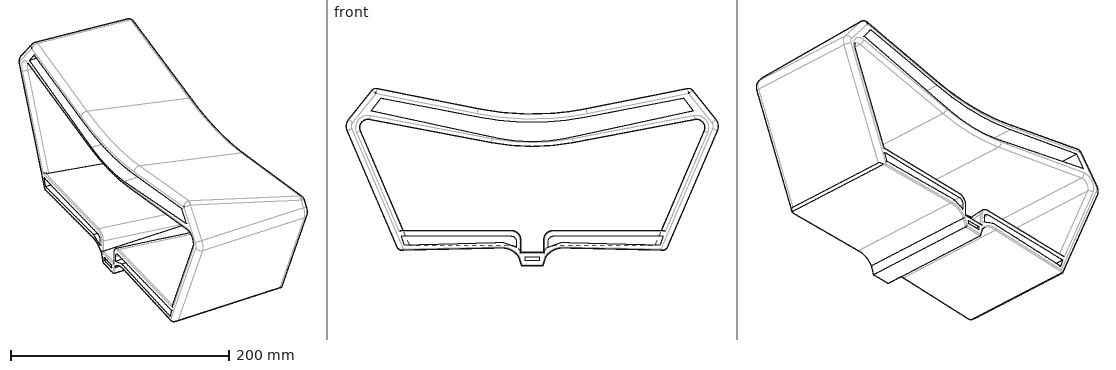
import cadquery as cq
import math

DEPTH = 116.2

TRAY_TOP = 32.7
TRAY_TOP_BACK = 18.7
TRAY_HALF_WIDTH = 122.7
TRAY_BOTTOM_OUTER = 14.3
TRAY_BOTTOM_INNER = 16.5
CHANNEL_HALF_WIDTH = 10.4
CHANNEL_FLOOR = 12.5
CHANNEL_LIP_RADIUS = 8.5
KEEL_HALF_WIDTH = 10.0
KEEL_SHOULDER = (12.5, 8.5)
KEEL_CURVE_MIDDLE = (19.0, 14.15)
KEEL_CURVE_END = 30.5

CORNER = (172.0, 129.5)
BEVEL_SLOPE = 1.25
BEVEL_REACH = 44.3
WALL_WIDTH = 12.3

SEAT_FRONT_LOW = 140.5
SEAT_FRONT_SLOPE = 0.2
SEAT_BACK_LOW = 116.5
SEAT_BACK_SLOPE = 0.18
SEAT_ARC_HALF_WIDTH = 49.5
UNDERSIDE_LOW = 109.5
UNDERSIDE_SLOPE = 0.19
UNDERSIDE_ARC_HALF_WIDTH = 37.5
ROOF = 191.0

POCKET_DEPTH = 27.3
SEAT_POCKET_TIP = (138.7, 153.7)
SEAT_POCKET_END = (147.5, 142.0)
SEAT_POCKET_TOP = 131.5
SEAT_POCKET_BOTTOM = 113.8
SEAT_POCKET_LOWER_ARC = 30.7
TRAY_POCKET_TOP = 27.3
TRAY_POCKET_LIP_RADIUS = 5.0
TRAY_POCKET_INNER_LOW = (14.3, 17.0)
TRAY_POCKET_KNEE = (26.5, 21.5)
TRAY_POCKET_OUTER_LOW = (117.2, 19.0)
TRAY_POCKET_OUTER_X = 120.0
KEEL_POCKET_SIZE = (13.5, 3.0)
KEEL_POCKET_Z = 6.5

CORNER_RADIUS = 10.2
EDGE_RADIUS = 4.8
FOOT_CHAMFER = 2.0
OPENING_CORNER_RADIUS = 7.5
OPENING_EDGE_RADIUS = 3.7
SMALL_EDGE_RADIUS = 1.0

PICK_MARGIN = 3.5


def front_sketch(y=0.0):
    """Sketch plane whose local axes are X and Z; extruding by a negative length goes to the back (+Y)."""
    return cq.Workplane("XZ", origin=(0, y, 0))


def sagging_height(x, low, slope, arc_half_width):
    """Height of a straight slope that ends in a tangent central arc with its lowest point at `low`."""
    arc_rise = arc_half_width * math.tan(math.atan(slope) / 2)
    return low + arc_rise + slope * (abs(x) - arc_half_width)


def prism(sketch, depth):
    """Close the outline and extrude it from its plane toward the back."""
    return sketch.close().extrude(-depth)


def outer_block():
    """Full outside shape with an uncut top; the bevels run on upward past the seat."""
    corner_x, corner_z = CORNER
    bevel_x = corner_x - BEVEL_REACH
    bevel_z = corner_z + BEVEL_REACH * BEVEL_SLOPE
    shoulder_x, shoulder_z = KEEL_SHOULDER
    curve_x, curve_z = KEEL_CURVE_MIDDLE
    return prism(
        front_sketch()
        .moveTo(-KEEL_HALF_WIDTH, 0)
        .lineTo(KEEL_HALF_WIDTH, 0)
        .lineTo(shoulder_x, shoulder_z)
        .threePointArc((curve_x, curve_z), (KEEL_CURVE_END, TRAY_BOTTOM_INNER))
        .lineTo(TRAY_HALF_WIDTH, TRAY_BOTTOM_OUTER)
        .lineTo(corner_x, corner_z)
        .lineTo(bevel_x, bevel_z)
        .lineTo(-bevel_x, bevel_z)
        .lineTo(-corner_x, corner_z)
        .lineTo(-TRAY_HALF_WIDTH, TRAY_BOTTOM_OUTER)
        .lineTo(-KEEL_CURVE_END, TRAY_BOTTOM_INNER)
        .threePointArc((-curve_x, curve_z), (-shoulder_x, shoulder_z)),
        DEPTH,
    )


def seat_section(y, low, slope):
    edge_x = CORNER[0]
    edge_z = sagging_height(edge_x, low, slope, SEAT_ARC_HALF_WIDTH)
    arc_z = sagging_height(SEAT_ARC_HALF_WIDTH, low, slope, SEAT_ARC_HALF_WIDTH)
    return (
        front_sketch(y)
        .moveTo(-edge_x, edge_z)
        .lineTo(-SEAT_ARC_HALF_WIDTH, arc_z)
        .threePointArc((0, low), (SEAT_ARC_HALF_WIDTH, arc_z))
        .lineTo(edge_x, edge_z)
        .lineTo(edge_x, ROOF)
        .lineTo(-edge_x, ROOF)
        .close()
        .val()
    )


def space_above_seat():
    """Ruled body over the seat, from the front section to the lower, flatter back section."""
    sections = [
        seat_section(0, SEAT_FRONT_LOW, SEAT_FRONT_SLOPE),
        seat_section(DEPTH, SEAT_BACK_LOW, SEAT_BACK_SLOPE),
    ]
    return cq.Workplane(cq.Solid.makeLoft(sections, True))


def box_selector(x_low, x_high, z_low, z_high, y_low=-PICK_MARGIN, y_high=DEPTH + PICK_MARGIN):
    """Selector for edges whose centre lies in the given box."""
    return cq.selectors.BoxSelector((x_low, y_low, z_low), (x_high, y_high, z_high))


def both_sides(x_near, x_far, z_low, z_high):
    """Selector for edges at mid depth, left and right of the middle plane."""
    middle = (DEPTH / 4, 3 * DEPTH / 4)
    left = box_selector(-x_far, -x_near, z_low, z_high, *middle)
    return left + box_selector(x_near, x_far, z_low, z_high, *middle)


def edges_through(x, z):
    """Selector for the edges along Y that pass near (x, z) and its mirror image."""
    return both_sides(x - PICK_MARGIN, x + PICK_MARGIN, z - PICK_MARGIN, z + PICK_MARGIN)


def round_outside(block):
    corner_x, corner_z = CORNER
    rim = box_selector(-corner_x, corner_x, TRAY_TOP, ROOF)
    ridges = both_sides(corner_x - BEVEL_REACH, corner_x, corner_z + CORNER_RADIUS, ROOF)
    corners = edges_through(corner_x, corner_z)
    feet = edges_through(TRAY_HALF_WIDTH, TRAY_BOTTOM_OUTER)

    block = block.edges(corners).fillet(CORNER_RADIUS)
    block = block.edges(feet).chamfer(FOOT_CHAMFER)
    block = block.faces("<Y").edges(rim).fillet(EDGE_RADIUS)
    block = block.faces(">Y").edges(rim).fillet(EDGE_RADIUS)
    return block.edges(ridges).fillet(EDGE_RADIUS)


def underside_height(x):
    return sagging_height(x, UNDERSIDE_LOW, UNDERSIDE_SLOPE, UNDERSIDE_ARC_HALF_WIDTH)


def tray_filler():
    """Wedge under the tray top, which falls toward the back, with the channel cut into it."""
    slot_width = 2 * CHANNEL_HALF_WIDTH
    wedge = (
        cq.Workplane("YZ")
        .moveTo(0, 0)
        .lineTo(0, TRAY_TOP)
        .lineTo(DEPTH, TRAY_TOP_BACK)
        .lineTo(DEPTH, 0)
        .close()
        .extrude(CORNER[0], both=True)
    )
    slot = cq.Workplane().box(slot_width, 3 * DEPTH, 3 * TRAY_TOP)
    floor = cq.Workplane().box(slot_width, DEPTH, CHANNEL_FLOOR, centered=(True, False, False))
    lips = edges_through(CHANNEL_HALF_WIDTH, (TRAY_TOP + TRAY_TOP_BACK) / 2)
    return wedge.cut(slot).edges(lips).fillet(CHANNEL_LIP_RADIUS).union(floor)


def opening():
    """Through opening between the seat, the side walls and the tray, including the channel."""
    wall_slope = (CORNER[1] - TRAY_BOTTOM_OUTER) / (CORNER[0] - TRAY_HALF_WIDTH)
    base_x = TRAY_HALF_WIDTH - TRAY_BOTTOM_OUTER / wall_slope - WALL_WIDTH
    arc_x = UNDERSIDE_ARC_HALF_WIDTH
    arc_z = underside_height(arc_x)
    corner_x = base_x + underside_height(base_x) / (wall_slope - UNDERSIDE_SLOPE)
    corner_z = underside_height(corner_x)
    space = prism(
        front_sketch()
        .moveTo(-base_x, 0)
        .lineTo(base_x, 0)
        .lineTo(corner_x, corner_z)
        .lineTo(arc_x, arc_z)
        .threePointArc((0, UNDERSIDE_LOW), (-arc_x, arc_z))
        .lineTo(-corner_x, corner_z),
        DEPTH,
    )
    return space.edges(edges_through(corner_x, corner_z)).fillet(OPENING_CORNER_RADIUS).cut(tray_filler())


def round_opening(block):
    """Round the front edges of the opening and the lower outline; the tray edges are only eased."""
    inner_x = CORNER[0] - WALL_WIDTH
    inner_top = SEAT_POCKET_TOP + PICK_MARGIN
    walls_and_underside = box_selector(-inner_x, inner_x, TRAY_TOP + PICK_MARGIN, inner_top)
    tray_x = TRAY_HALF_WIDTH - WALL_WIDTH
    tray_edges = box_selector(-tray_x, tray_x, -PICK_MARGIN, TRAY_TOP + SMALL_EDGE_RADIUS)
    block = block.faces("<Y").edges(walls_and_underside).fillet(OPENING_EDGE_RADIUS)
    return block.faces("<Y").edges(tray_edges).fillet(SMALL_EDGE_RADIUS)


def seat_pocket():
    tip_x, tip_z = SEAT_POCKET_TIP
    end_x, end_z = SEAT_POCKET_END
    upper_x = SEAT_ARC_HALF_WIDTH
    upper_z = sagging_height(upper_x, SEAT_POCKET_TOP, SEAT_FRONT_SLOPE, upper_x)
    lower_x = SEAT_POCKET_LOWER_ARC
    lower_z = sagging_height(lower_x, SEAT_POCKET_BOTTOM, SEAT_FRONT_SLOPE, lower_x)
    return prism(
        front_sketch()
        .moveTo(-tip_x, tip_z)
        .lineTo(-upper_x, upper_z)
        .threePointArc((0, SEAT_POCKET_TOP), (upper_x, upper_z))
        .lineTo(tip_x, tip_z)
        .lineTo(end_x, end_z)
        .lineTo(lower_x, lower_z)
        .threePointArc((0, SEAT_POCKET_BOTTOM), (-lower_x, lower_z))
        .lineTo(-end_x, end_z),
        POCKET_DEPTH,
    )


def tray_pocket():
    """Pocket in the right half of the tray, following its lip and its underside."""
    pocket = prism(
        front_sketch()
        .moveTo(*TRAY_POCKET_INNER_LOW)
        .lineTo(*TRAY_POCKET_KNEE)
        .lineTo(*TRAY_POCKET_OUTER_LOW)
        .lineTo(TRAY_POCKET_OUTER_X, TRAY_POCKET_TOP)
        .lineTo(TRAY_POCKET_INNER_LOW[0], TRAY_POCKET_TOP),
        POCKET_DEPTH,
    )
    return pocket.edges("|Y").edges(">Z").edges("<X").fillet(TRAY_POCKET_LIP_RADIUS)


def keel_pocket():
    return front_sketch().center(0, KEEL_POCKET_Z).rect(*KEEL_POCKET_SIZE).extrude(-POCKET_DEPTH)


body = round_outside(outer_block().cut(space_above_seat()))
body = body.cut(opening())
body = round_opening(body)
body = body.cut(seat_pocket())
body = body.cut(tray_pocket())
body = body.cut(tray_pocket().mirror("YZ"))
body = body.cut(keel_pocket())
result = body.solids()